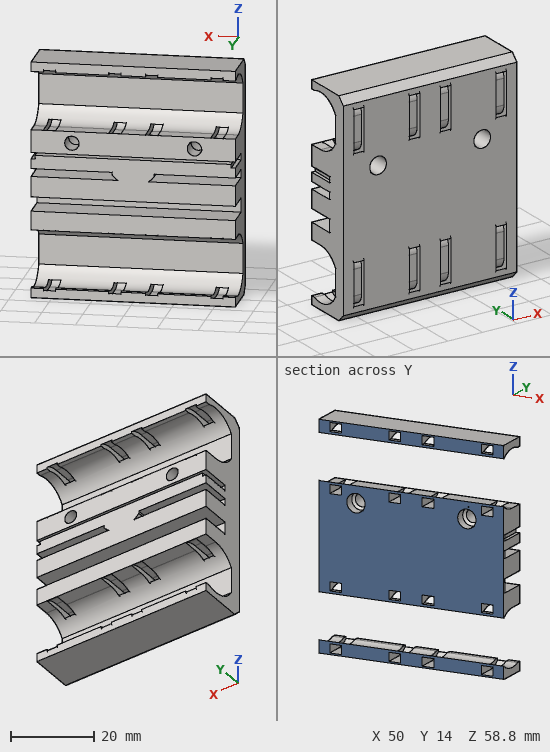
import cadquery as cq
import math

width = 50.0
depth = 14.0
front_chamfer = 2.0

channel_pitch = 40.0
channel_radius = 7.5
channel_axis_y = 10.0
channel_flat_y = 3.5
channel_lip_height = 7.0
channel_edge_margin = 9.4
height = channel_pitch + 2 * channel_edge_margin

strap_width = 3.0
strap_x_positions = (-20.5, -4.5, 4.5, 20.5)
strap_mouth_half_height = 5.73
strap_crown_half_height = 8.87
strap_corner_radius = 6.0
strap_back_corner_y = 10.1
bridge_face_y = 1.15
bridge_flat_half_height = 3.5
bridge_corner_radius = 3.2
bridge_half_height = bridge_flat_half_height + bridge_corner_radius
bridge_back_y = channel_axis_y

screw_hole_diameter = 3.5
head_bore_diameter = 4.8
head_bore_depth = 8.0
screw_spacing = 30.0
screw_hole_z = 9.6

slot_depth = 8.0
wire_slots = ((6.15, 6.8), (0.85, 2.8), (-7.8, -4.25))

slot_mouth_length = 1.0
slot_mouth_z_range = (5.25, 6.8)

boss_radius = 6.5
boss_z = 6.15
boss_flat_edge_z = 2.15
boss_half_width = math.sqrt(boss_radius**2 - (boss_z - boss_flat_edge_z) ** 2)


def block(x_range, y_range, z_range):
    """Axis-aligned box given by its limits."""
    sizes = [high - low for low, high in (x_range, y_range, z_range)]
    corner = (x_range[0], y_range[0], z_range[0])
    return cq.Workplane("XY").box(*sizes, centered=False).translate(corner)


def body():
    """Block with its long front edges chamfered."""
    box = block((-width / 2, width / 2), (0, depth), (-height / 2, height / 2))
    return box.edges("|X and <Y").chamfer(front_chamfer)


def channel():
    """Cell channel centred on z = 0, with its retaining lip on the +Z side."""
    circle = cq.Workplane("YZ").center(channel_axis_y, 0).circle(channel_radius)
    round_bore = circle.extrude(width / 2, both=True)
    x_range = (-width / 2, width / 2)
    bore = round_bore.intersect(
        block(x_range, (channel_flat_y, depth), (-channel_radius, channel_radius))
    )
    mouth = block(x_range, (channel_axis_y, depth), (-channel_radius, channel_lip_height))
    return bore.union(mouth)


def bridge():
    """Core that the strap wraps around, with rounded front corners."""
    core = block(
        (-strap_width / 2, strap_width / 2),
        (bridge_face_y, bridge_back_y),
        (-bridge_half_height, bridge_half_height),
    )
    return core.edges("|X and <Y").fillet(bridge_corner_radius)


def strap_passage():
    """Strap passage centred on x = 0, z = 0: a round-cornered outline around the bridge."""
    mouth_offset_z = strap_mouth_half_height - (strap_crown_half_height - strap_corner_radius)
    outline_front_y = math.sqrt(strap_corner_radius**2 - mouth_offset_z**2) - strap_corner_radius
    outline_back_y = strap_back_corner_y + strap_corner_radius
    outline = block(
        (-strap_width / 2, strap_width / 2),
        (outline_front_y, outline_back_y),
        (-strap_crown_half_height, strap_crown_half_height),
    )
    return outline.edges("|X").fillet(strap_corner_radius).cut(bridge())


def y_disc(diameter, start_y):
    """Circle on the plane y = start_y; a negative extrusion runs toward +Y."""
    return cq.Workplane("XZ", origin=(0, start_y, 0)).circle(diameter / 2)


def screw_hole():
    """Through hole on the Y axis with a deep head bore and a 45 degree conical seat."""
    head_bore = y_disc(head_bore_diameter, 0).extrude(-head_bore_depth)
    seat_depth = (head_bore_diameter - screw_hole_diameter) / 2
    seat = (
        y_disc(head_bore_diameter, head_bore_depth)
        .workplane(offset=-seat_depth)
        .circle(screw_hole_diameter / 2)
        .loft()
    )
    shank = y_disc(screw_hole_diameter, 0).extrude(-depth)
    return shank.union(head_bore).union(seat)


def slot_boss():
    """Half-round boss standing on the slot floor, curved on its lower side."""
    y_range = (depth - slot_depth, depth)
    cylinder = (
        cq.Workplane("XZ", origin=(0, depth, 0)).center(0, boss_z).circle(boss_radius).extrude(slot_depth)
    )
    trim = block((-boss_half_width, boss_half_width), y_range, (boss_z - boss_radius, boss_z))
    return cylinder.intersect(trim)


result = body()
for side in (-1, 1):
    channel_z = side * channel_pitch / 2
    side_channel = channel()
    if side < 0:
        side_channel = side_channel.mirror("XY")
    result = result.cut(side_channel.translate((0, 0, channel_z)))
    for strap_x in strap_x_positions:
        result = result.cut(strap_passage().translate((strap_x, 0, channel_z)))

slot_y_range = (depth - slot_depth, depth)
for slot_z_range in wire_slots:
    result = result.cut(block((-width / 2, width / 2), slot_y_range, slot_z_range))
for mouth_start_x in (-width / 2, width / 2 - slot_mouth_length):
    mouth_x_range = (mouth_start_x, mouth_start_x + slot_mouth_length)
    result = result.cut(block(mouth_x_range, slot_y_range, slot_mouth_z_range))
result = result.union(slot_boss())

for screw_x in (-screw_spacing / 2, screw_spacing / 2):
    result = result.cut(screw_hole().translate((screw_x, 0, screw_hole_z)))